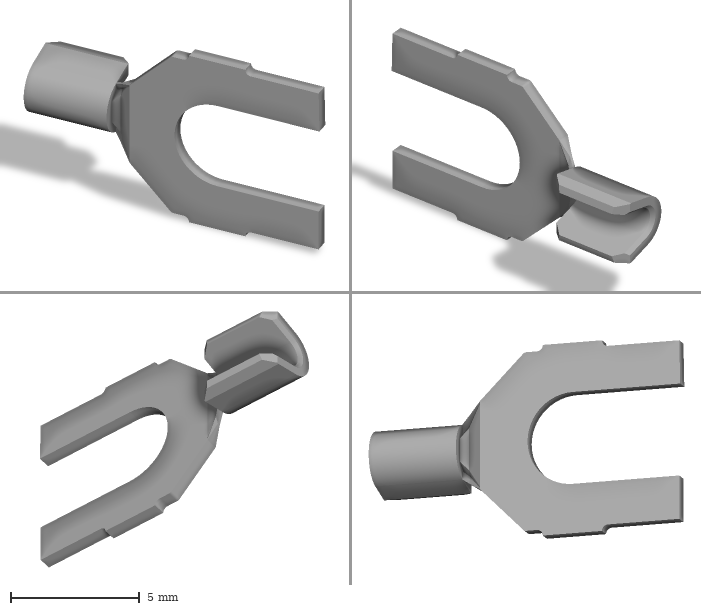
import cadquery as cq
import math


sheet = 0.53

barrel_length = 3.55
barrel_depth = 2.54
barrel_radius = 1.13
bore_radius = barrel_radius - sheet
leg_flare = math.radians(14.3)
leg_crease = 1.97
tip_outer_y = 2.46
tip_outer_z = 1.28
tip_corner_cut = 0.51
entry_chamfer = 0.15

blade_start = 4.55
blade_end = 12.66
long_tine_end = 12.7
root_half = 1.78
body_half = 3.58
shoulder_half = 3.82
shoulder_start = 7.1
shoulder_end = 9.51
body_corner_radius = 0.15
slot_radius = 1.84
slot_center = 8.32

neck_bend = 3.92
web_front = 0.51
web_back = 0.69
root_web_half = 1.68
root_fold_half = 1.73


def leg_line(radius, y):
    """Leg face tangent to an arc of the given radius: its tangent point (Y, Z) and its Z at y."""
    tangent_y = barrel_radius - radius * math.sin(leg_flare)
    tangent_z = radius * math.cos(leg_flare)
    return tangent_y, tangent_z, tangent_z + (y - tangent_y) * math.tan(leg_flare)


def bore_outline(radius, x):
    """Closed outline of the bore at station x, running past the open side of the U."""
    open_y = barrel_depth + 0.13
    tangent_y, tangent_z, open_z = leg_line(radius, open_y)
    return (
        cq.Workplane("YZ", origin=(x, 0, 0))
        .moveTo(open_y, open_z)
        .lineTo(tangent_y, tangent_z)
        .threePointArc((barrel_radius - radius, 0), (tangent_y, -tangent_z))
        .lineTo(open_y, -open_z)
        .close()
    )


def make_barrel():
    tangent_y, tangent_z, crease_z = leg_line(barrel_radius, leg_crease)
    tip_inner_z = leg_line(bore_radius, barrel_depth)[2]
    body = (
        cq.Workplane("YZ")
        .moveTo(barrel_depth, tip_inner_z)
        .lineTo(tip_outer_y, tip_outer_z)
        .lineTo(leg_crease, crease_z)
        .lineTo(tangent_y, tangent_z)
        .threePointArc((0, 0), (tangent_y, -tangent_z))
        .lineTo(leg_crease, -crease_z)
        .lineTo(tip_outer_y, -tip_outer_z)
        .lineTo(barrel_depth, -tip_inner_z)
        .close()
        .extrude(barrel_length)
    )
    bore = bore_outline(bore_radius, 0).extrude(barrel_length)
    entry = cq.Workplane(
        cq.Solid.makeLoft(
            [
                bore_outline(bore_radius + entry_chamfer, 0).wire().val(),
                bore_outline(bore_radius, entry_chamfer).wire().val(),
            ],
            True,
        )
    )
    side_profile = (
        cq.Workplane("XY", origin=(0, 0, -shoulder_half))
        .moveTo(0, 0)
        .lineTo(barrel_length, 0)
        .lineTo(barrel_length, barrel_depth - tip_corner_cut)
        .lineTo(barrel_length - tip_corner_cut, barrel_depth)
        .lineTo(tip_corner_cut, barrel_depth)
        .lineTo(0, barrel_depth - tip_corner_cut)
        .close()
        .extrude(2 * shoulder_half)
    )
    return body.intersect(side_profile).cut(bore).cut(entry)


def make_half_blade(side, tine_end):
    """One half of the fork; side is +1 or -1 in Z, tine_end is X of the inner tine corner."""
    chamfer_end = blade_start + body_half - root_half
    slot_bottom = slot_center - slot_radius
    slot_mid = slot_radius * math.sqrt(0.5)
    step = shoulder_half - body_half
    round_near = step * (1 - math.sqrt(0.5))
    round_z = side * (body_half + round_near)
    half = (
        cq.Workplane("XZ")
        .moveTo(blade_start, 0)
        .lineTo(blade_start, side * root_half)
        .lineTo(chamfer_end, side * body_half)
        .lineTo(shoulder_start - step, side * body_half)
        .threePointArc((shoulder_start - round_near, round_z), (shoulder_start, side * shoulder_half))
        .lineTo(shoulder_end, side * shoulder_half)
        .threePointArc((shoulder_end + round_near, round_z), (shoulder_end + step, side * body_half))
        .lineTo(blade_end, side * body_half)
        .lineTo(tine_end, side * slot_radius)
        .lineTo(slot_center, side * slot_radius)
        .threePointArc((slot_center - slot_mid, side * slot_mid), (slot_bottom, 0))
        .close()
        .extrude(-sheet)
    )
    body_corner = cq.selectors.NearestToPointSelector((chamfer_end, sheet / 2, side * body_half))
    return half.edges("|Y").edges(body_corner).fillet(body_corner_radius)


def neck_section(x, half_points):
    """Closed wire at station x from (y, z) points of the +Z half, mirrored to -Z."""
    mirrored = [(y, -z) for y, z in reversed(half_points)]
    return cq.Workplane("YZ", origin=(x, 0, 0)).polyline(half_points + mirrored).close().wire().val()


def make_neck():
    at_barrel = neck_section(
        barrel_length,
        [(web_front, 0.47), (0.97, 0.76), (0.84, 1.1), (0.97, 1.12), (1.17, 0.95), (web_back, 0.38)],
    )
    at_bend = neck_section(
        neck_bend,
        [(web_front, 0.83), (0.7, 1.05), (0.56, 1.36), (0.69, 1.36), (0.81, 1.08), (web_back, 0.7)],
    )
    at_blade = neck_section(
        blade_start,
        [
            (0, root_web_half),
            (0, root_fold_half),
            (0, root_half),
            (sheet, root_half),
            (sheet, root_fold_half),
            (sheet, root_web_half),
        ],
    )
    barrel_side = cq.Solid.makeLoft([at_barrel, at_bend], True)
    blade_side = cq.Solid.makeLoft([at_bend, at_blade], True)
    return cq.Workplane(barrel_side).union(cq.Workplane(blade_side))


blade = make_half_blade(1, long_tine_end).union(make_half_blade(-1, blade_end))
result = make_barrel().union(make_neck()).union(blade)